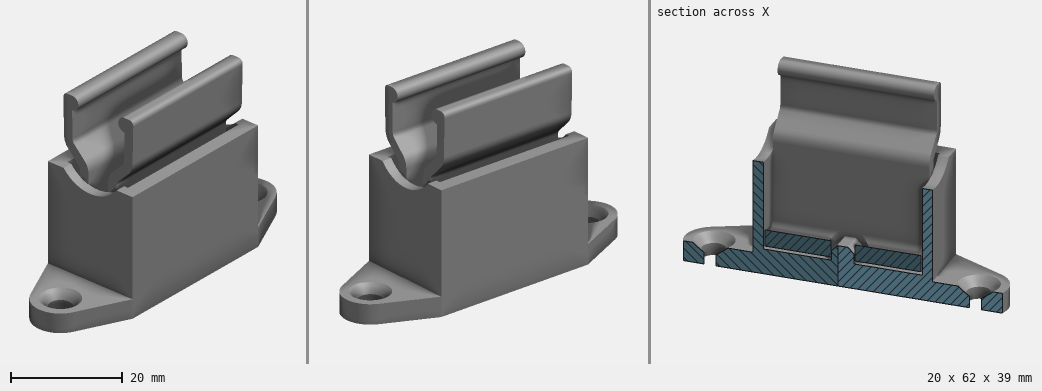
import cadquery as cq
import math

WIDTH = 20.0
LENGTH = 61.95
HEIGHT = 25.05
BLOCK_LENGTH = 34.45
EAR_THICKNESS = 4.0
EAR_RADIUS = 5.6
SCREW_DIAMETER = 4.5
COUNTERSINK_DIAMETER = 7.8
COUNTERSINK_ANGLE = 90.0
SCREW_Y = LENGTH / 2 - EAR_RADIUS

SADDLE_RADIUS = 8.0
SADDLE_AXIS_Z = 30.0

POCKET_WIDTH = 14.4
FLOOR_Z = 5.0
END_CLEARANCE = 0.2
CREST_WIDTH = 2.0
BASE_RADIUS = 2.0
SLOT_WIDTH = 2 * BASE_RADIUS
SLOT_LENGTH = 8.2
RIDGE_SLOPE = 45.0
RIDGE_HEIGHT = (SLOT_LENGTH - CREST_WIDTH) / 2 * math.tan(math.radians(RIDGE_SLOPE))

TOOTH_DEPTH = 1.0
TOOTH_BASE = 1.6
TOOTH_X = (WIDTH + POCKET_WIDTH) / 4

CLIP_LENGTH = 30.0
CLIP_TOP = 39.0
STRIP = 2.0
BASE_AXIS_Z = FLOOR_Z + BASE_RADIUS + STRIP
NECK_X = 2.35
NECK_Z = 25.7
JAW_X = 6.1
JAW_Z = 29.55
BEND_ANGLE = 45.0
BEND_RADIUS = 3.2
BEAD_RADIUS = 1.5
BEAD_X = 6.2
BEAD_Z = CLIP_TOP - BEAD_RADIUS
TIP_X = 8.3
TIP_FILLET = 1.0

POCKET_LENGTH = CLIP_LENGTH + 2 * END_CLEARANCE


def base_plate():
    """Block footprint with an ear at each end whose sides are tangent to the rounded tip."""
    corner_x = WIDTH / 2
    corner_y = BLOCK_LENGTH / 2
    corner_drop = SCREW_Y - corner_y
    corner_distance = math.hypot(corner_x, corner_drop)
    tangent_angle = math.acos(EAR_RADIUS / corner_distance) - math.atan2(corner_drop, corner_x)
    tangent_x = EAR_RADIUS * math.cos(tangent_angle)
    tangent_y = SCREW_Y + EAR_RADIUS * math.sin(tangent_angle)
    return (
        cq.Workplane("XY")
        .moveTo(corner_x, -corner_y)
        .lineTo(corner_x, corner_y)
        .lineTo(tangent_x, tangent_y)
        .threePointArc((0, LENGTH / 2), (-tangent_x, tangent_y))
        .lineTo(-corner_x, corner_y)
        .lineTo(-corner_x, -corner_y)
        .lineTo(-tangent_x, -tangent_y)
        .threePointArc((0, -LENGTH / 2), (tangent_x, -tangent_y))
        .close()
        .extrude(EAR_THICKNESS)
        .faces(">Z")
        .workplane(origin=(0, 0, EAR_THICKNESS))
        .pushPoints([(0, SCREW_Y), (0, -SCREW_Y)])
        .cskHole(SCREW_DIAMETER, COUNTERSINK_DIAMETER, COUNTERSINK_ANGLE)
    )


def slot_prism(bottom, height):
    """Upright prism with the rounded outline of the clip's slot."""
    return cq.Workplane("XY", origin=(0, 0, bottom)).slot2D(SLOT_LENGTH, SLOT_WIDTH, 90).extrude(height)


def ridge():
    """Two slopes and a flat crest, trimmed to fill the clip's slot."""
    wedge = (
        cq.Workplane("YZ")
        .moveTo(-SLOT_LENGTH / 2, FLOOR_Z)
        .lineTo(SLOT_LENGTH / 2, FLOOR_Z)
        .lineTo(CREST_WIDTH / 2, FLOOR_Z + RIDGE_HEIGHT)
        .lineTo(-CREST_WIDTH / 2, FLOOR_Z + RIDGE_HEIGHT)
        .close()
        .extrude(SLOT_WIDTH / 2, both=True)
    )
    return wedge.intersect(slot_prism(FLOOR_Z, RIDGE_HEIGHT))


def whole_housing():
    """Both housing halves together, before the seam divides them."""
    block = cq.Workplane("XY").box(WIDTH, BLOCK_LENGTH, HEIGHT, centered=(True, True, False))
    saddle = (
        cq.Workplane("XZ")
        .center(0, SADDLE_AXIS_Z)
        .circle(SADDLE_RADIUS)
        .extrude(BLOCK_LENGTH, both=True)
    )
    pocket = (
        cq.Workplane("XY", origin=(0, 0, FLOOR_Z))
        .rect(POCKET_WIDTH, POCKET_LENGTH)
        .extrude(HEIGHT)
    )
    return block.union(base_plate()).cut(saddle).cut(pocket).union(ridge())


def seam_tooth():
    """Upright wedge on the -X wall, with its base on the seam and its edge toward +Y."""
    half_base = TOOTH_BASE / 2
    return (
        cq.Workplane("XY")
        .center(-TOOTH_X, 0)
        .polyline([(-half_base, 0), (0, TOOTH_DEPTH), (half_base, 0)])
        .close()
        .extrude(HEIGHT)
    )


def front_zone():
    """Space on the -Y side of the seam, with a tooth on the -X wall and a matching notch on the +X wall.

    The central tongue reaches under the crest of the ridge, so the front half carries the whole crest.
    """
    zone = cq.Workplane("XY").center(0, -LENGTH / 2).rect(WIDTH, LENGTH).extrude(HEIGHT)
    tongue = cq.Workplane("XY").center(0, CREST_WIDTH / 4).rect(SLOT_WIDTH, CREST_WIDTH / 2).extrude(HEIGHT)
    tooth = seam_tooth()
    notch = tooth.rotate((0, 0, 0), (0, 0, 1), 180)
    return zone.union(tongue).union(tooth).cut(notch)


def front_half():
    return whole_housing().intersect(front_zone())


def back_half():
    return whole_housing().cut(front_zone())


def fillet_at(solid, radius, x, z):
    """Round the edge that runs along Y through (x, z)."""
    return solid.edges(cq.selectors.NearestToPointSelector((x, 0, z))).fillet(radius)


def clip_arm():
    """One arm on the +X side, from the base axis up to its bead."""
    bend_offset = STRIP * math.tan(math.radians(BEND_ANGLE / 2))
    outer_jaw = (JAW_X + STRIP, JAW_Z - bend_offset)
    outer_neck = (NECK_X + STRIP, NECK_Z - bend_offset)
    outline = [
        (BASE_RADIUS, BASE_AXIS_Z),
        (BASE_RADIUS + STRIP, BASE_AXIS_Z),
        outer_neck,
        outer_jaw,
        (TIP_X, CLIP_TOP),
        (BEAD_X, CLIP_TOP),
        (BEAD_X, BEAD_Z - BEAD_RADIUS),
        (JAW_X, JAW_Z),
        (NECK_X, NECK_Z),
    ]
    arm = cq.Workplane("XZ").polyline(outline).close().extrude(CLIP_LENGTH / 2, both=True)
    arm = fillet_at(arm, TIP_FILLET, TIP_X, CLIP_TOP)
    arm = fillet_at(arm, BEND_RADIUS, *outer_jaw)
    arm = fillet_at(arm, BEND_RADIUS, NECK_X, NECK_Z)
    arm = fillet_at(arm, BEND_RADIUS - STRIP, *outer_neck)
    arm = fillet_at(arm, BEND_RADIUS - STRIP, JAW_X, JAW_Z)
    bead = (
        cq.Workplane("XZ")
        .center(BEAD_X, BEAD_Z)
        .circle(BEAD_RADIUS)
        .extrude(CLIP_LENGTH / 2, both=True)
    )
    return arm.union(bead)


def clip_base():
    """Half-round trough that joins the two arms."""
    outer_radius = BASE_RADIUS + STRIP
    return (
        cq.Workplane("XZ")
        .moveTo(-outer_radius, BASE_AXIS_Z)
        .threePointArc((0, BASE_AXIS_Z - outer_radius), (outer_radius, BASE_AXIS_Z))
        .lineTo(BASE_RADIUS, BASE_AXIS_Z)
        .threePointArc((0, BASE_AXIS_Z - BASE_RADIUS), (-BASE_RADIUS, BASE_AXIS_Z))
        .close()
        .extrude(CLIP_LENGTH / 2, both=True)
    )


def spring_clip():
    arm = clip_arm()
    slot = slot_prism(FLOOR_Z, BASE_AXIS_Z - FLOOR_Z)
    return clip_base().union(arm).union(arm.mirror("YZ")).cut(slot)


front_housing = front_half()
back_housing = back_half()
clip = spring_clip()

result = cq.Compound.makeCompound([front_housing.val(), back_housing.val(), clip.val()])